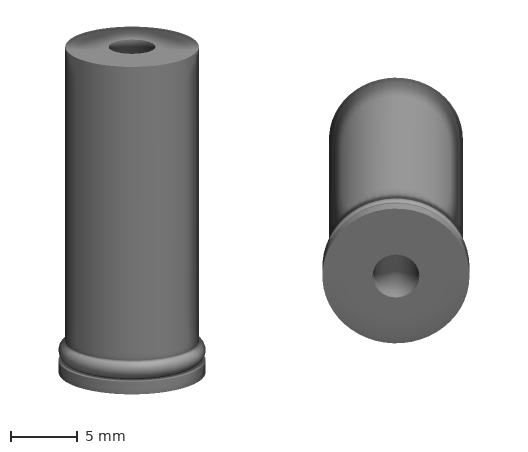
import cadquery as cq

height = 25.5
body_diameter = 10.0
collar_diameter = 11.0
bore_diameter = 3.5

flange_height = 1.0
ring_height = 1.5

body_radius = body_diameter / 2
collar_radius = collar_diameter / 2
bore_radius = bore_diameter / 2
ring_section_radius = ring_height / 2
ring_root_radius = collar_radius - ring_section_radius
ring_middle_z = flange_height + ring_section_radius
ring_top = flange_height + ring_height

half_section = (
    cq.Workplane("XZ")
    .moveTo(bore_radius, 0)
    .lineTo(collar_radius, 0)
    .lineTo(collar_radius, flange_height)
    .lineTo(ring_root_radius, flange_height)
    .threePointArc((collar_radius, ring_middle_z), (ring_root_radius, ring_top))
    .lineTo(body_radius, ring_top)
    .lineTo(body_radius, height)
    .lineTo(bore_radius, height)
    .close()
)

result = half_section.revolve(360, (0, 0, 0), (0, 1, 0))